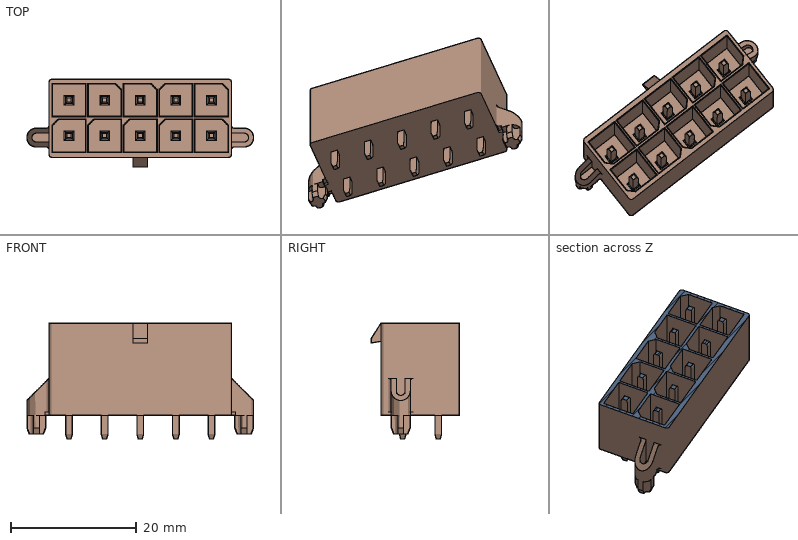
import cadquery as cq
import math

BODY_LENGTH = 29.15
BODY_WIDTH = 12.53
BODY_HEIGHT = 14.75
BODY_CORNER_RADIUS = 0.5

COLUMNS = 5
PITCH = 5.7
ROW_OFFSET = 0.07
CELL_LENGTH = 5.2
CELL_WIDTH = 5.15
CELL_FLOOR_Z = 3.5
CELL_MOUTH_BEVEL = 0.1
KEY_CUT = 0.95
FRONT_ROW_KEYS = (-1, -1, -1, -1, 1)
BACK_ROW_KEYS = (0, 1, 1, -1, 1)

PIN_SIZE = 1.1
PIN_TIP_SIZE = 0.65
PIN_TAPER_LENGTH = 0.72
PIN_TOP_Z = 10.4
PIN_BOTTOM_Z = -3.75
FUNNEL_SIZE = 1.52
FUNNEL_DEPTH = 0.2

LATCH_WIDTH = 2.35
LATCH_REACH = 1.52
LATCH_RAMP_DROP = 2.45
LATCH_TIP_DROP = 3.2
LATCH_ROOT_DROP = 2.95

EAR_END_X = 18.1
EAR_Y = -3.08
EAR_RADIUS = 1.52
EAR_OUTER_HEIGHT = 2.4
EAR_ROOT_HEIGHT = 5.9
EAR_POCKET_RADIUS = 0.705
EAR_POCKET_FLOOR_Z = 1.1
EAR_ROOT_FILLET = 0.4
EAR_RELIEF_LENGTH = 0.65
EAR_RELIEF_HEIGHT = 0.55

PEG_RADIUS = EAR_RADIUS
PEG_TIP_RADIUS = 1.15
PEG_LENGTH = 2.97
PEG_TAPER_LENGTH = 0.98
PEG_ARM_WIDTH = 0.95
PEG_INNER_FILLET = 0.47

BODY_END_X = BODY_LENGTH / 2
BODY_FRONT_Y = -BODY_WIDTH / 2
EAR_X = EAR_END_X - EAR_RADIUS
COLUMN_XS = [(column - (COLUMNS - 1) / 2) * PITCH for column in range(COLUMNS)]
ROWS = (
    (ROW_OFFSET - PITCH / 2, FRONT_ROW_KEYS),
    (ROW_OFFSET + PITCH / 2, BACK_ROW_KEYS),
)


def box(x_min, x_max, y_min, y_max, z_min, z_max):
    size = (x_max - x_min, y_max - y_min, z_max - z_min)
    return cq.Workplane("XY").box(*size, centered=False).translate((x_min, y_min, z_min))


def square_frustum(x, y, z, bottom_size, top_size, height):
    return (
        cq.Workplane("XY", origin=(x, y, z))
        .rect(bottom_size, bottom_size)
        .workplane(offset=height)
        .rect(top_size, top_size)
        .loft(ruled=True)
    )


def cell_cavity(x, y, key_side):
    cavity = box(
        x - CELL_LENGTH / 2, x + CELL_LENGTH / 2,
        y - CELL_WIDTH / 2, y + CELL_WIDTH / 2,
        CELL_FLOOR_Z, BODY_HEIGHT,
    )
    if key_side:
        key_corner = "|Z and >Y and >X" if key_side > 0 else "|Z and >Y and <X"
        cavity = cavity.edges(key_corner).chamfer(KEY_CUT)
    mouth_outline = cavity.faces(">Z").wires().val().offset2D(CELL_MOUTH_BEVEL, "intersection")[0]
    cell_outline = cavity.faces(">Z").wires().val().translate(cq.Vector(0, 0, -CELL_MOUTH_BEVEL))
    bevel = cq.Solid.makeLoft([cell_outline, mouth_outline], True)
    funnel = square_frustum(x, y, CELL_FLOOR_Z - FUNNEL_DEPTH, PIN_SIZE, FUNNEL_SIZE, FUNNEL_DEPTH)
    return cavity.union(cq.Workplane(bevel)).union(funnel)


def contact_pin(x, y):
    shank_bottom = PIN_BOTTOM_Z + PIN_TAPER_LENGTH
    shank_top = PIN_TOP_Z - PIN_TAPER_LENGTH
    shank = square_frustum(x, y, shank_bottom, PIN_SIZE, PIN_SIZE, shank_top - shank_bottom)
    lower_tip = square_frustum(x, y, PIN_BOTTOM_Z, PIN_TIP_SIZE, PIN_SIZE, PIN_TAPER_LENGTH)
    upper_tip = square_frustum(x, y, shank_top, PIN_SIZE, PIN_TIP_SIZE, PIN_TAPER_LENGTH)
    return shank.union(lower_tip).union(upper_tip)


def latch():
    return (
        cq.Workplane("YZ", origin=(-LATCH_WIDTH / 2, BODY_FRONT_Y, BODY_HEIGHT))
        .polyline([
            (0, 0),
            (-LATCH_REACH, -LATCH_RAMP_DROP),
            (-LATCH_REACH, -LATCH_TIP_DROP),
            (0, -LATCH_ROOT_DROP),
        ])
        .close()
        .extrude(LATCH_WIDTH)
    )


def ear_outline():
    """Plan of the +X ear: a round end, straight sides and concave flares at the housing wall."""
    flare_x = BODY_END_X + EAR_ROOT_FILLET
    flare_y = EAR_RADIUS + EAR_ROOT_FILLET
    flare_mid = EAR_ROOT_FILLET * (1 - math.sqrt(0.5))
    return (
        cq.Workplane("XY", origin=(0, EAR_Y, 0))
        .moveTo(BODY_END_X, -flare_y)
        .threePointArc((BODY_END_X + flare_mid, -EAR_RADIUS - flare_mid), (flare_x, -EAR_RADIUS))
        .lineTo(EAR_X, -EAR_RADIUS)
        .threePointArc((EAR_END_X, 0), (EAR_X, EAR_RADIUS))
        .lineTo(flare_x, EAR_RADIUS)
        .threePointArc((BODY_END_X + flare_mid, EAR_RADIUS + flare_mid), (BODY_END_X, flare_y))
        .close()
    )


def ear():
    slant = (
        cq.Workplane("XZ")
        .polyline([
            (BODY_END_X, 0),
            (EAR_END_X, 0),
            (EAR_END_X, EAR_OUTER_HEIGHT),
            (BODY_END_X, EAR_ROOT_HEIGHT),
        ])
        .close()
        .extrude(BODY_WIDTH / 2, both=True)
    )
    pocket = box(
        BODY_END_X, EAR_X,
        EAR_Y - EAR_POCKET_RADIUS, EAR_Y + EAR_POCKET_RADIUS,
        EAR_POCKET_FLOOR_Z, EAR_ROOT_HEIGHT,
    ).union(
        cq.Workplane("XY", origin=(EAR_X, EAR_Y, EAR_POCKET_FLOOR_Z))
        .circle(EAR_POCKET_RADIUS)
        .extrude(EAR_ROOT_HEIGHT - EAR_POCKET_FLOOR_Z)
    )
    relief_end_x = BODY_END_X + EAR_RELIEF_LENGTH
    base = cq.Workplane("XY", origin=(EAR_X, EAR_Y, 0)).circle(EAR_RADIUS).extrude(EAR_RELIEF_HEIGHT)
    neck = box(
        BODY_END_X, relief_end_x,
        EAR_Y - EAR_POCKET_RADIUS, EAR_Y + EAR_POCKET_RADIUS,
        0, EAR_RELIEF_HEIGHT,
    )
    relief = box(
        BODY_END_X, relief_end_x,
        BODY_FRONT_Y, BODY_WIDTH / 2,
        0, EAR_RELIEF_HEIGHT,
    ).cut(base).cut(neck)
    return ear_outline().extrude(EAR_ROOT_HEIGHT).intersect(slant).cut(pocket).cut(relief)


def peg():
    arm_length = 2 * PEG_RADIUS
    cross = (
        cq.Workplane("XY", origin=(EAR_X, EAR_Y, -PEG_LENGTH))
        .rect(arm_length, PEG_ARM_WIDTH)
        .extrude(PEG_LENGTH)
        .union(
            cq.Workplane("XY", origin=(EAR_X, EAR_Y, -PEG_LENGTH))
            .rect(PEG_ARM_WIDTH, arm_length)
            .extrude(PEG_LENGTH)
        )
    )
    inner_corners = cq.selectors.BoxSelector(
        (EAR_X - PEG_ARM_WIDTH, EAR_Y - PEG_ARM_WIDTH, -PEG_LENGTH),
        (EAR_X + PEG_ARM_WIDTH, EAR_Y + PEG_ARM_WIDTH, 0),
    )
    cross = cross.edges("|Z").edges(inner_corners).fillet(PEG_INNER_FILLET)
    envelope = (
        cq.Workplane("XZ", origin=(EAR_X, EAR_Y, 0))
        .polyline([
            (0, 0),
            (PEG_RADIUS, 0),
            (PEG_RADIUS, PEG_TAPER_LENGTH - PEG_LENGTH),
            (PEG_TIP_RADIUS, -PEG_LENGTH),
            (0, -PEG_LENGTH),
        ])
        .close()
        .revolve(360, (0, 0), (0, 1))
    )
    return cross.intersect(envelope)


housing = box(-BODY_END_X, BODY_END_X, BODY_FRONT_Y, BODY_WIDTH / 2, 0, BODY_HEIGHT)
housing = housing.edges("|Z").fillet(BODY_CORNER_RADIUS)
mount = ear().union(peg())
result = housing.union(latch()).union(mount).union(mount.mirror("YZ"))
for row_y, row_keys in ROWS:
    for column_x, key in zip(COLUMN_XS, row_keys):
        result = result.cut(cell_cavity(column_x, row_y, key))
        result = result.union(contact_pin(column_x, row_y))